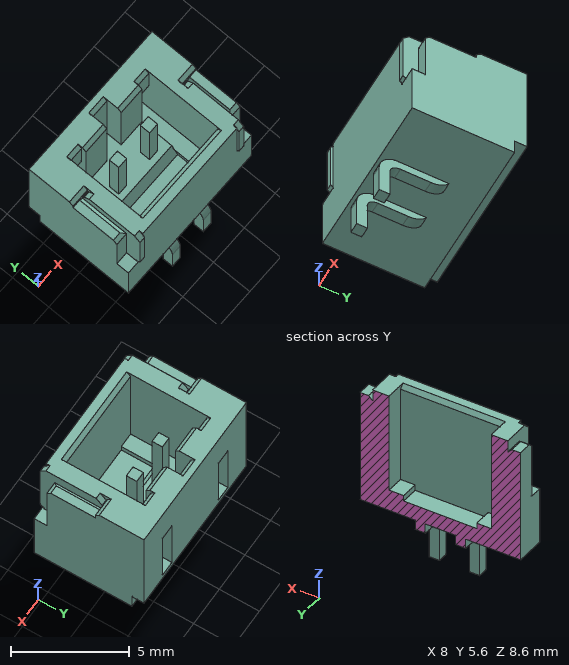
import cadquery as cq
import math

HOUSING_WIDTH = 8.0
HOUSING_DEPTH = 5.495
HOUSING_HEIGHT = 6.0
HEEL_DEPTH = 0.6
HEEL_HEIGHT = 0.8
EDGE_CHAMFER = 0.2

CAVITY_WIDTH = 5.09
CAVITY_FRONT = 0.64
MIDDLE_WIDTH = 3.64
MIDDLE_BACK = 4.2
CHANNEL_WIDTH = (CAVITY_WIDTH - MIDDLE_WIDTH) / 2
CHANNEL_BACK = 4.44
KEY_WIDTH = 0.94
KEY_BACK = 4.99

FRONT_FLOOR = HEEL_HEIGHT
SLOPE_TOP_Y = 2.55
SLOPE_BOTTOM_Y = 2.23
SLOPE_ANGLE = 60
REAR_FLOOR = FRONT_FLOOR + (SLOPE_TOP_Y - SLOPE_BOTTOM_Y) * math.tan(math.radians(SLOPE_ANGLE))
CHANNEL_FLOOR = (FRONT_FLOOR + REAR_FLOOR) / 2

WINDOW_TOP = 4.085

RECESS_WIDTH = 0.94
RECESS_BACK = 3.06
RECESS_BOTTOM = 2.8
LEDGE_HEIGHT = HOUSING_HEIGHT - 0.38
LEDGE_FRONT = 0.64
CLIP_THICKNESS = 0.31
CLIP_BACK = 3.0
CLIP_CHAMFER = 0.3
CLIP_FOOT_CHAMFER = 0.21
FRONT_OVERHANG = 0.1

LEAD_PITCH = 2.0
LEAD_SIZE = 0.52
LEAD_Y = 3.12
LEAD_TOP = HOUSING_HEIGHT - 0.97
OVERALL_HEIGHT = 8.6
LEAD_BOTTOM = HOUSING_HEIGHT - OVERALL_HEIGHT
LEAD_RUN_BOTTOM = -0.48
LEAD_INNER_RADIUS = 0.5


def extrude_yz(points, x_start, width):
    """Extrude a closed (Y, Z) outline along +X from x_start."""
    return cq.Workplane("YZ").workplane(offset=x_start).polyline(points).close().extrude(width)


def housing_block():
    heel_y = HOUSING_DEPTH - HEEL_DEPTH
    outline = [
        (0, 0),
        (heel_y, 0),
        (heel_y, HEEL_HEIGHT),
        (HOUSING_DEPTH, HEEL_HEIGHT),
        (HOUSING_DEPTH, HOUSING_HEIGHT),
        (0, HOUSING_HEIGHT),
    ]
    return extrude_yz(outline, -HOUSING_WIDTH / 2, HOUSING_WIDTH)


def cavity_cut(x_start, width, back, floor_points):
    """Cavity slice with chamfered front and back rims; floor_points run from front to back."""
    chamfer_bottom = HOUSING_HEIGHT - EDGE_CHAMFER
    rim = [
        (back, chamfer_bottom),
        (back + EDGE_CHAMFER, HOUSING_HEIGHT),
        (CAVITY_FRONT - EDGE_CHAMFER, HOUSING_HEIGHT),
        (CAVITY_FRONT, chamfer_bottom),
    ]
    return extrude_yz(floor_points + rim, x_start, width)


def stepped_floor(back):
    """(Y, Z) points of the sloped floor, from the cavity front to the given back."""
    return [
        (CAVITY_FRONT, FRONT_FLOOR),
        (SLOPE_BOTTOM_Y, FRONT_FLOOR),
        (SLOPE_TOP_Y, REAR_FLOOR),
        (back, REAR_FLOOR),
    ]


def middle_cavity():
    middle = cavity_cut(-MIDDLE_WIDTH / 2, MIDDLE_WIDTH, MIDDLE_BACK, stepped_floor(MIDDLE_BACK))
    key_slot = cavity_cut(-KEY_WIDTH / 2, KEY_WIDTH, KEY_BACK, stepped_floor(KEY_BACK))
    return middle.union(key_slot)


def side_channel():
    """Channel at the -X side of the cavity, with its window through the rear wall."""
    x_start = -CAVITY_WIDTH / 2
    floor = [(CAVITY_FRONT, CHANNEL_FLOOR), (CHANNEL_BACK, CHANNEL_FLOOR)]
    channel = cavity_cut(x_start, CHANNEL_WIDTH, CHANNEL_BACK, floor)
    window = [
        (CHANNEL_BACK, CHANNEL_FLOOR),
        (HOUSING_DEPTH, CHANNEL_FLOOR),
        (HOUSING_DEPTH, WINDOW_TOP),
        (CHANNEL_BACK, WINDOW_TOP),
    ]
    return channel.union(extrude_yz(window, x_start, CHANNEL_WIDTH))


def corner_recess():
    """L-shaped recess at the -X side; its ledge is chamfered at the front and along the clip."""
    outline = [
        (0, RECESS_BOTTOM),
        (LEDGE_FRONT, RECESS_BOTTOM),
        (LEDGE_FRONT, LEDGE_HEIGHT - EDGE_CHAMFER),
        (LEDGE_FRONT + EDGE_CHAMFER, LEDGE_HEIGHT),
        (RECESS_BACK, LEDGE_HEIGHT),
        (RECESS_BACK, HOUSING_HEIGHT - EDGE_CHAMFER),
        (RECESS_BACK + EDGE_CHAMFER, HOUSING_HEIGHT),
        (0, HOUSING_HEIGHT),
    ]
    recess = extrude_yz(outline, -HOUSING_WIDTH / 2, RECESS_WIDTH)
    clip_outer_x = -HOUSING_WIDTH / 2 + RECESS_WIDTH - CLIP_THICKNESS
    groove = (
        cq.Workplane("XZ")
        .polyline([
            (clip_outer_x - EDGE_CHAMFER, LEDGE_HEIGHT),
            (clip_outer_x, LEDGE_HEIGHT),
            (clip_outer_x, LEDGE_HEIGHT - EDGE_CHAMFER),
        ])
        .close()
        .extrude(-RECESS_BACK)
    )
    return recess.union(groove)


def clip():
    """Upright clip plate on the inner wall of the -X recess."""
    front = -FRONT_OVERHANG
    outline = [
        (front + CLIP_FOOT_CHAMFER, RECESS_BOTTOM),
        (front, RECESS_BOTTOM + CLIP_FOOT_CHAMFER),
        (front, HOUSING_HEIGHT - CLIP_CHAMFER),
        (front + CLIP_CHAMFER, HOUSING_HEIGHT),
        (CLIP_BACK - CLIP_CHAMFER, HOUSING_HEIGHT),
        (CLIP_BACK, HOUSING_HEIGHT - CLIP_CHAMFER),
        (CLIP_BACK, RECESS_BOTTOM),
    ]
    x_start = -HOUSING_WIDTH / 2 + RECESS_WIDTH - CLIP_THICKNESS
    return extrude_yz(outline, x_start, CLIP_THICKNESS)


def lead(x_center):
    """Wire that drops through the floor, runs forward under the housing and turns down again."""
    outer_radius = LEAD_INNER_RADIUS + LEAD_SIZE
    inner_mid = LEAD_INNER_RADIUS * math.sqrt(0.5)
    outer_mid = outer_radius * math.sqrt(0.5)
    run_top = LEAD_RUN_BOTTOM + LEAD_SIZE
    pin_front = LEAD_Y - LEAD_SIZE / 2
    pin_back = LEAD_Y + LEAD_SIZE / 2
    tail_front = -FRONT_OVERHANG
    tail_back = tail_front + LEAD_SIZE
    rear_y = pin_back - outer_radius
    rear_z = LEAD_RUN_BOTTOM + outer_radius
    front_y = tail_front + outer_radius
    front_z = run_top - outer_radius
    return (
        cq.Workplane("YZ")
        .workplane(offset=x_center - LEAD_SIZE / 2)
        .moveTo(pin_front, LEAD_TOP)
        .lineTo(pin_back, LEAD_TOP)
        .lineTo(pin_back, rear_z)
        .threePointArc((rear_y + outer_mid, rear_z - outer_mid), (rear_y, LEAD_RUN_BOTTOM))
        .lineTo(front_y, LEAD_RUN_BOTTOM)
        .threePointArc((front_y - inner_mid, front_z + inner_mid), (tail_back, front_z))
        .lineTo(tail_back, LEAD_BOTTOM)
        .lineTo(tail_front, LEAD_BOTTOM)
        .lineTo(tail_front, front_z)
        .threePointArc((front_y - outer_mid, front_z + outer_mid), (front_y, run_top))
        .lineTo(rear_y, run_top)
        .threePointArc((rear_y + inner_mid, rear_z - inner_mid), (pin_front, rear_z))
        .close()
        .extrude(LEAD_SIZE)
    )


def both_sides(feature):
    """The feature together with its mirror image on the +X side."""
    return feature.union(feature.mirror("YZ"))


result = housing_block().cut(middle_cavity()).cut(both_sides(side_channel()))
result = result.cut(both_sides(corner_recess())).union(both_sides(clip()))
for lead_x in (-LEAD_PITCH / 2, LEAD_PITCH / 2):
    result = result.union(lead(lead_x))